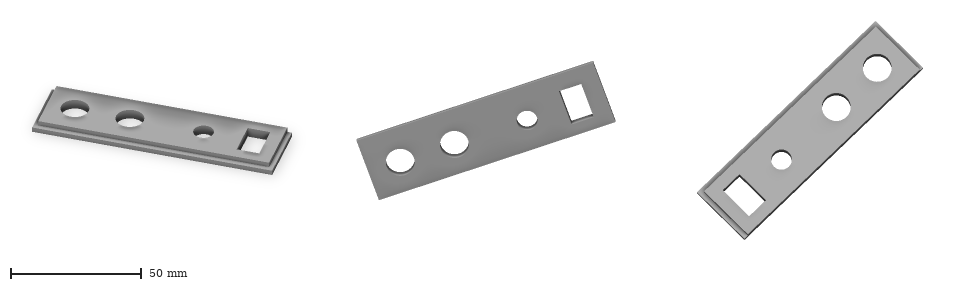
import cadquery as cq

length = 96.0
width = 25.8
total_height = 4.0
base_thickness = total_height / 2

end_inset = 1.8
front_inset = 2.0
panel_length = length - 2 * end_inset
panel_width = width - front_inset

opening_y = 13.9
large_diameter = 11.0
small_diameter = 8.0
large_hole_xs = (12.9, 34.8)
small_hole_x = 64.3
window_x = 84.3
window_length = 9.0
window_width = 14.4


def round_opening(x, diameter):
    """Cylinder that cuts a round hole through the full height."""
    return cq.Workplane("XY").center(x, opening_y).circle(diameter / 2).extrude(total_height)


base = cq.Workplane("XY").box(length, width, base_thickness, centered=False)
panel = (
    cq.Workplane("XY")
    .box(panel_length, panel_width, total_height, centered=False)
    .translate((end_inset, front_inset, 0))
)
window = (
    cq.Workplane("XY")
    .center(window_x, opening_y)
    .rect(window_length, window_width)
    .extrude(total_height)
)

result = base.union(panel).cut(window)
for hole_x in large_hole_xs:
    result = result.cut(round_opening(hole_x, large_diameter))
result = result.cut(round_opening(small_hole_x, small_diameter))